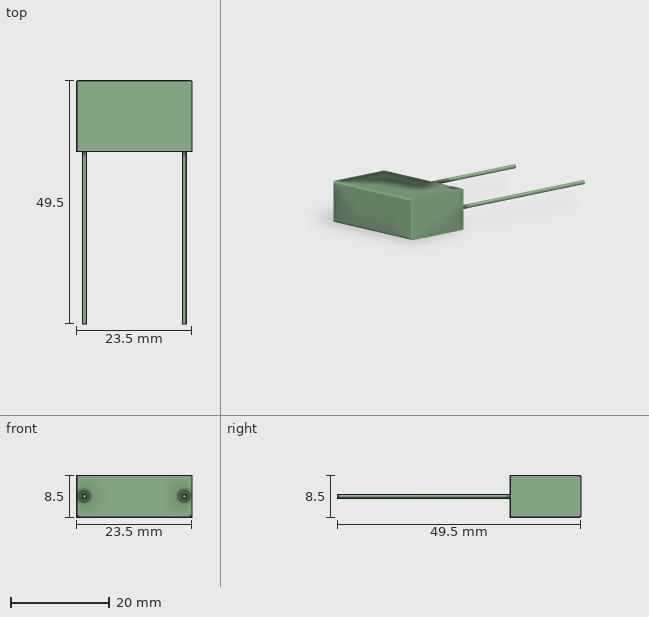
import cadquery as cq

total_length = 49.5
case_width = 23.5
case_depth = 14.45
case_height = 8.5
rear_edge_radius = 0.45

lead_diameter = 0.85
lead_pitch = 20.3
lead_length = total_length - case_depth


def make_case():
    """Capacitor case: a block with its front face on Y = 0 and rounded edges around its rear face."""
    block = cq.Workplane("XY").box(case_width, case_depth, case_height, centered=(True, False, True))
    return block.faces(">Y").edges().fillet(rear_edge_radius)


def make_lead(x):
    """Round wire lead that butts on the front face of the case and runs toward -Y."""
    return cq.Workplane("XZ").center(x, 0).circle(lead_diameter / 2).extrude(lead_length)


case = make_case()

leads = []
for side in (-1, 1):
    leads.append(make_lead(side * lead_pitch / 2))

result = cq.Compound.makeCompound([case.val(), *[lead.val() for lead in leads]])